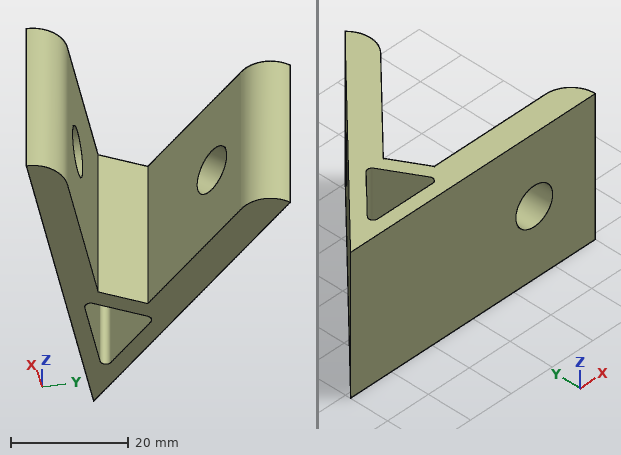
import cadquery as cq
import math

leg_length = 60.0
leg_thickness = 6.0
part_height = 32.0
leg_angle = 45.0
web_angle = 60.0
web_foot = 26.7
wall = 3.0
opening_radius = 1.0
hole_diameter = 9.0
hole_distance = 45.0

tip_radius = leg_thickness
leg_slope = math.tan(math.radians(leg_angle))
leg_cosine = math.cos(math.radians(leg_angle))
web_slope = math.tan(math.radians(web_angle))
web_sine = math.sin(math.radians(web_angle))
web_base = web_foot + leg_thickness / web_slope


def triangle(inset, web_inset):
    """Prism between the outer faces and the web, each side moved inward."""
    slant_drop = inset / leg_cosine
    base_x = web_base - web_inset / web_sine
    left = (inset + slant_drop) / leg_slope
    right = base_x - inset / web_slope
    top_x = (web_slope * base_x + slant_drop) / (leg_slope + web_slope)
    top_y = leg_slope * top_x - slant_drop
    corners = [(left, inset), (right, inset), (top_x, top_y)]
    return cq.Workplane("XY").polyline(corners).close().extrude(part_height)


def flat_leg():
    """Leg along X with its outer face at y = 0 and a rounded inner tip."""
    bisector_x = leg_thickness / math.tan(math.radians(leg_angle / 2))
    arc_offset = tip_radius * math.sqrt(0.5)
    arc_start_x = leg_length - tip_radius
    leg = (
        cq.Workplane("XY")
        .lineTo(leg_length, 0)
        .threePointArc((arc_start_x + arc_offset, arc_offset), (arc_start_x, leg_thickness))
        .lineTo(bisector_x, leg_thickness)
        .close()
        .extrude(part_height)
    )
    hole = (
        cq.Workplane("XZ")
        .center(hole_distance, part_height / 2)
        .circle(hole_diameter / 2)
        .extrude(-leg_thickness)
    )
    return leg.cut(hole)


slanted_leg = flat_leg().mirror("XZ").rotate((0, 0, 0), (0, 0, 1), leg_angle)
opening = triangle(wall, wall).edges("|Z").fillet(opening_radius)

result = flat_leg().union(slanted_leg).union(triangle(0, 0)).cut(opening).clean()